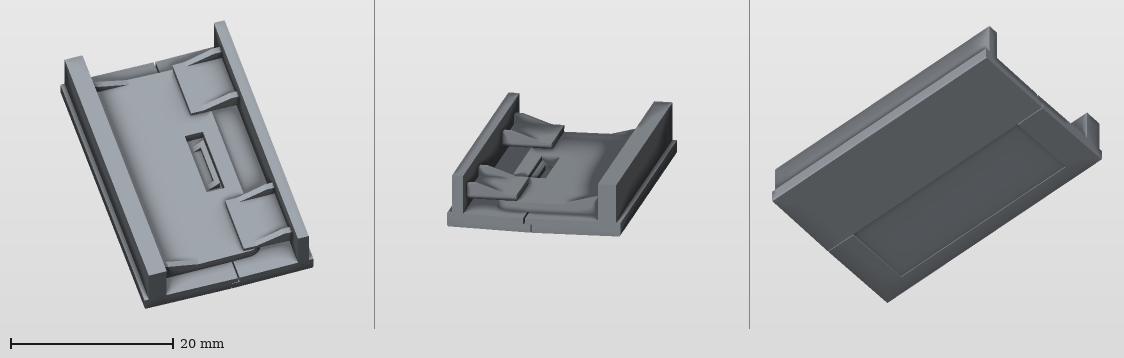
import cadquery as cq
import math

length = 35.0
width = 21.8
height = 6.8
half_length = length / 2
base_back = width / 2
base_front = -width / 2

bend_slope = math.tan(math.radians(1.0))
floor_at_fold = 1.8
edge_chamfer_height = 0.2
edge_chamfer_depth = 0.1

ledge_z = 1.92
back_wall_outer = 10.3
back_wall_inner = 8.9
front_wall_inner = -8.05
front_wall_outer = -10.35

step_z = 1.05
step_gap = 0.07
upper_joint_back = 1.35
upper_joint_front = 1.12
lower_joint_back = 0.4
lower_joint_front = 0.28
floor_fold_y = (upper_joint_back + upper_joint_front) / 2
underside_fold_y = (lower_joint_back + lower_joint_front) / 2

plate_front_z = 3.1
plate_back_z = 2.98
plate_back_y = 5.42
plate_half_width_front = 15.0
plate_half_width_back = 14.77
plate_corner_radius = 1.95

recess_half_length = 13.48
recess_front_y = -8.75
recess_back_y = lower_joint_front
recess_top_z = 0.28

rib_inner_x = 14.18
front_rib_top_z = 4.4
front_rib_tip_y = -2.95

tab_bottom_z = 3.0
tab_top_z = 3.85
tab_tip_y = 2.73
tab_outer_root = 15.0
tab_outer_tip = 14.88
tab_inner_root = 6.95
tab_inner_tip = 7.07
tab_edge_radius = 0.6
tab_rib_width = 0.85
tab_rib_top_z = 5.05
tab_rib_flat_end = 7.9
tab_rib_tip_y = 4.3

slot_half_length = 4.55
slot_back_y = 3.45
hook_half_length = 3.45
hook_tip_y = 1.6
hook_back_y = 3.2
hook_top_z = 2.8
notch_half_length = 2.7
notch_back_y = 2.62


def underside_z(y):
    return abs(y - underside_fold_y) * bend_slope


def floor_z(y):
    return floor_at_fold + abs(y - floor_fold_y) * bend_slope


def extrude_along_x(points, x_start, x_end):
    """Extrude a closed (y, z) outline from x_start to x_end."""
    profile = cq.Workplane("YZ").workplane(offset=x_start).polyline(points).close()
    return profile.extrude(x_end - x_start)


def block(x_start, x_end, y_start, y_end, z_start, z_end):
    corner = cq.Vector(x_start, y_start, z_start)
    return cq.Workplane(cq.Solid.makeBox(x_end - x_start, y_end - y_start, z_end - z_start, corner))


def make_back_profile():
    """Back base half with its wall and the lower lap of the joint."""
    return extrude_along_x(
        [
            (lower_joint_back, underside_z(lower_joint_back)),
            (base_back - edge_chamfer_depth, underside_z(base_back)),
            (base_back, underside_z(base_back) + edge_chamfer_height),
            (base_back, ledge_z),
            (back_wall_outer, ledge_z),
            (back_wall_outer, height),
            (back_wall_inner, height),
            (back_wall_inner, floor_z(back_wall_inner)),
            (upper_joint_back, floor_z(upper_joint_back)),
            (upper_joint_back, step_z - step_gap),
            (lower_joint_back, step_z - step_gap),
        ],
        -half_length,
        half_length,
    )


def make_tab():
    """Left holding tab: a tapered pad with rounded lower side edges and two ribs."""
    outline = [
        (-tab_outer_root, back_wall_inner),
        (-tab_outer_tip, tab_tip_y),
        (-tab_inner_tip, tab_tip_y),
        (-tab_inner_root, back_wall_inner),
    ]
    pad = cq.Workplane("XY").workplane(offset=tab_bottom_z).polyline(outline).close()
    pad = pad.extrude(tab_top_z - tab_bottom_z)
    pad = pad.faces("<Z").edges("<X or >X").fillet(tab_edge_radius)
    rib_profile = [
        (back_wall_inner, tab_top_z),
        (tab_rib_tip_y, tab_top_z),
        (tab_rib_flat_end, tab_rib_top_z),
        (back_wall_inner, tab_rib_top_z),
    ]
    outer_rib_x = -rib_inner_x - tab_rib_width
    inner_rib_x = -tab_inner_root - tab_rib_width
    footprint = cq.Workplane("XY").workplane(offset=tab_top_z).polyline(outline).close()
    footprint = footprint.extrude(tab_rib_top_z - tab_top_z)
    for x_start in (outer_rib_x, inner_rib_x):
        rib = extrude_along_x(rib_profile, x_start, x_start + tab_rib_width)
        pad = pad.union(rib.intersect(footprint))
    return pad


def make_hook():
    """Ramped snap hook, notched in the middle of its tip."""
    ramp = extrude_along_x(
        [
            (hook_tip_y, floor_at_fold),
            (hook_tip_y, floor_z(hook_tip_y)),
            (hook_back_y, hook_top_z),
            (hook_back_y, floor_at_fold),
        ],
        -hook_half_length,
        hook_half_length,
    )
    notch = extrude_along_x(
        [
            (hook_tip_y, floor_z(hook_tip_y)),
            (notch_back_y, floor_z(notch_back_y)),
            (notch_back_y, height),
            (hook_tip_y, height),
        ],
        -notch_half_length,
        notch_half_length,
    )
    return ramp.cut(notch)


def make_back_half():
    tab = make_tab()
    return make_back_profile().union(tab).union(tab.mirror("YZ")).union(make_hook())


def make_front_profile():
    """Front base half with its wall and the upper lap of the joint."""
    return extrude_along_x(
        [
            (lower_joint_front, underside_z(lower_joint_front)),
            (lower_joint_front, step_z),
            (upper_joint_front, step_z),
            (upper_joint_front, floor_z(upper_joint_front)),
            (front_wall_inner, floor_z(front_wall_inner)),
            (front_wall_inner, height),
            (front_wall_outer, height),
            (front_wall_outer, ledge_z),
            (base_front, ledge_z),
            (base_front, underside_z(base_front) + edge_chamfer_height),
            (base_front + edge_chamfer_depth, underside_z(base_front)),
        ],
        -half_length,
        half_length,
    )


def make_plate_outline():
    """Tapered plan of the plate with rounded back corners, as a tall prism."""
    prism = (
        cq.Workplane("XY")
        .polyline(
            [
                (-plate_half_width_front, front_wall_inner),
                (plate_half_width_front, front_wall_inner),
                (plate_half_width_back, plate_back_y),
                (-plate_half_width_back, plate_back_y),
            ]
        )
        .close()
        .extrude(height)
    )
    return prism.edges("|Z and >Y").fillet(plate_corner_radius)


def make_plate():
    """Plate lying on both floors, with a ramped rib at each end of the front wall."""
    outline = make_plate_outline()
    slab = extrude_along_x(
        [
            (front_wall_inner, floor_z(front_wall_inner)),
            (upper_joint_front, floor_z(upper_joint_front)),
            (upper_joint_back, floor_z(upper_joint_back)),
            (plate_back_y, floor_z(plate_back_y)),
            (plate_back_y, plate_back_z),
            (front_wall_inner, plate_front_z),
        ],
        -half_length,
        half_length,
    )
    rib_profile = [
        (front_wall_inner, floor_z(front_wall_inner)),
        (front_rib_tip_y, floor_z(front_rib_tip_y)),
        (front_rib_tip_y, tab_bottom_z),
        (front_wall_inner, front_rib_top_z),
    ]
    left_rib = extrude_along_x(rib_profile, -half_length, -rib_inner_x)
    ribbed_slab = slab.union(left_rib).union(left_rib.mirror("YZ"))
    slot = block(-slot_half_length, slot_half_length, upper_joint_front, slot_back_y, step_z, height)
    return ribbed_slab.intersect(outline).cut(slot)


def make_front_half():
    recess = block(
        -recess_half_length, recess_half_length, recess_front_y, recess_back_y, 0, recess_top_z
    )
    return make_front_profile().union(make_plate()).cut(recess)


back_half = make_back_half()
front_half = make_front_half()

result = cq.Compound.makeCompound([back_half.val(), front_half.val()])